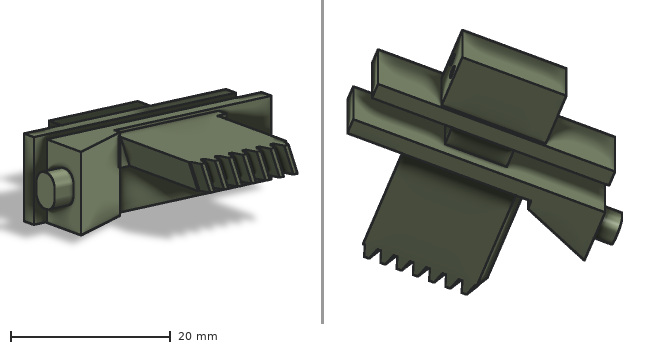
import cadquery as cq

block_length = 7.0
plate_thickness = 2.05
plate_back = block_length
plate_front = plate_back + plate_thickness
holder_back = 13.15
holder_front = holder_back + plate_thickness
overall_x = 32.38

block_y = (13.45, 27.53)
block_z = (0.75, 9.8)
hole_diameter = 1.5
hole_x = 3.4
hole_z = (3.63, 7.62)

plate_y = (4.1, 36.1)
plate_z = (0, 11.47)
neck_y = (16.28, 24.65)
neck_z = (4.45, 9.9)

holder_y = (3.0, 37)
holder_z = (1.45, 12.35)
foot_x = 20.15
foot_top_x = 16.28
foot_top_y = 12.17

pin_x = 16.75
pin_z = 7.03
pin_width = 3.75
pin_height = 4.77
pin_corner_radius = 1.7

blade_z = (7.88, 11.9)
blade_top_y = (11.85, 27.2)
blade_lean = 1.45
blade_root_x = 16.85
tooth_count = 7
tooth_length = 1.55
tooth_gap = 0.48
tooth_tip = 0.65
tooth_pitch = (blade_top_y[1] - blade_top_y[0]) / tooth_count


def box(x, y, z):
    """Box between pairs of limits along each axis."""
    return cq.Workplane("XY").box(x[1] - x[0], y[1] - y[0], z[1] - z[0], centered=False).translate(
        (x[0], y[0], z[0])
    )


def make_drive_block():
    block = box((0, block_length), block_y, block_z)
    holes = (
        cq.Workplane("XZ", origin=(0, block_y[1], 0))
        .pushPoints([(hole_x, z) for z in hole_z])
        .circle(hole_diameter / 2)
        .extrude(block_y[1] - block_y[0])
    )
    return block.cut(holes)


def make_holder():
    outline = [
        (holder_back, holder_y[0]),
        (foot_x, holder_y[0]),
        (foot_top_x, foot_top_y),
        (holder_front, foot_top_y),
        (holder_front, holder_y[1]),
        (holder_back, holder_y[1]),
    ]
    height = holder_z[1] - holder_z[0]
    return cq.Workplane("XY", origin=(0, 0, holder_z[0])).polyline(outline).close().extrude(height)


def make_pin():
    return (
        cq.Workplane("XZ", origin=(pin_x, holder_y[0], pin_z))
        .rect(pin_width, pin_height)
        .extrude(holder_y[0])
        .edges("|Y")
        .fillet(pin_corner_radius)
    )


def blade_outline(y_shift):
    """Closed toothed outline in plan, moved along Y."""
    y_low = blade_top_y[0] + y_shift
    y_high = blade_top_y[1] + y_shift
    valley_x = overall_x - tooth_length
    points = [(holder_front, y_low), (valley_x, y_low)]
    for tooth in range(tooth_count):
        start = y_low + tooth * tooth_pitch
        middle = start + tooth_pitch / 2
        points += [
            (valley_x, start + tooth_gap / 2),
            (overall_x, middle - tooth_tip / 2),
            (overall_x, middle + tooth_tip / 2),
            (valley_x, start + tooth_pitch - tooth_gap / 2),
        ]
    points += [(valley_x, y_high), (holder_front, y_high)]
    return points


def make_blade():
    blade = (
        cq.Workplane("XY", origin=(0, 0, blade_z[0]))
        .polyline(blade_outline(blade_lean))
        .close()
        .workplane(offset=blade_z[1] - blade_z[0])
        .polyline(blade_outline(0))
        .close()
        .loft(ruled=True)
    )
    root_y = (blade_top_y[0], blade_top_y[1] + blade_lean)
    return blade.union(box((holder_front, blade_root_x), root_y, blade_z))


rear_plate = box((plate_back, plate_front), plate_y, plate_z)
neck = box((plate_front, holder_back), neck_y, neck_z)

result = (
    make_drive_block()
    .union(rear_plate)
    .union(neck)
    .union(make_holder())
    .union(make_pin())
    .union(make_blade())
)